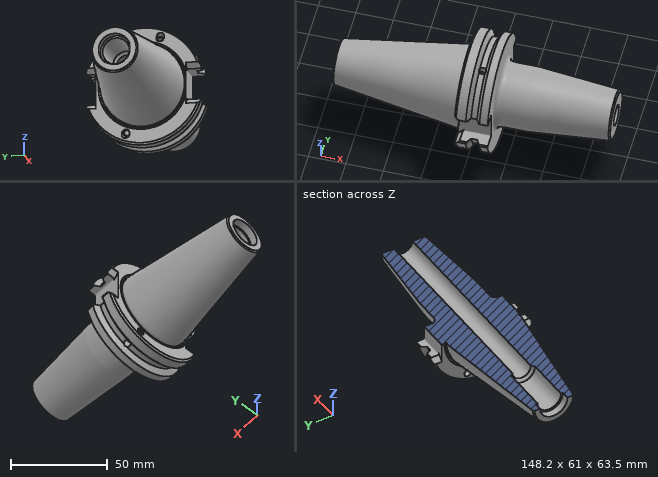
import math

import cadquery as cq


gauge_radius = 44.45 / 2
taper_length = 68.25
taper_slope = 7 / 48
rear_radius = gauge_radius - taper_length * taper_slope
rear_chamfer = 0.7

flange_radius = 63.5 / 2
flange_rear = 1.25
flange_front = 19.05
flange_fillet = 1.0
groove_radius = 56.4 / 2
groove_centre = 11.1
groove_floor_width = 3.2
groove_half_angle = 30.0

undercut_start = 0.7
undercut_floor = 1.8
undercut_neck_radius = gauge_radius - 0.35
undercut_floor_radius = 22.65
undercut_mouth_radius = 23.55

shaft_radius = 34.3 / 2
shaft_fillet = 3.2
shaft_end = 35.75
nose_x = 80.0
nose_radius = 27.0 / 2
nose_chamfer = 0.8

slot_width = 16.3
slot_floor_far = 25.0
slot_floor_near = 22.6
slot_floor_fillet = 0.5
slot_rim_chamfer = 0.65
slot_entry_chamfer = 2.8
cut_margin = 1.0

through_bore_radius = 11.0 / 2
counterbore_radius = 16.5 / 2
counterbore_depth = 4.5
middle_bore_radius = 14.2 / 2
middle_bore_depth = 30.0

coolant_angle = 19.8
coolant_face_distance = 27.1
coolant_tilt = 30.0
coolant_mouth_radius = 4.0 / 2
coolant_mouth_depth = 2.0
coolant_feed_radius = 3.0 / 2
coolant_feed_length = 14.0
plug_radius = 3.6 / 2
plug_depth = 10.0


def turned_body():
    """Taper shank, flange and shaft as one revolved outline."""
    groove_depth = flange_radius - groove_radius
    groove_flank = groove_depth * math.tan(math.radians(groove_half_angle))
    groove_rear = groove_centre - groove_floor_width / 2
    groove_front = groove_centre + groove_floor_width / 2
    arc_inset = 1 - math.sqrt(0.5)
    outline = (
        cq.Workplane("XY")
        .moveTo(-taper_length, 0)
        .lineTo(-taper_length, rear_radius - rear_chamfer)
        .lineTo(-taper_length + rear_chamfer, rear_radius + rear_chamfer * taper_slope)
        .lineTo(0, gauge_radius)
        .lineTo(undercut_start, gauge_radius)
        .lineTo(undercut_floor, undercut_neck_radius)
        .lineTo(undercut_floor, undercut_floor_radius)
        .lineTo(flange_rear, undercut_mouth_radius)
        .lineTo(flange_rear, flange_radius - flange_fillet)
        .threePointArc(
            (flange_rear + arc_inset * flange_fillet, flange_radius - arc_inset * flange_fillet),
            (flange_rear + flange_fillet, flange_radius),
        )
        .lineTo(groove_rear - groove_flank, flange_radius)
        .lineTo(groove_rear, groove_radius)
        .lineTo(groove_front, groove_radius)
        .lineTo(groove_front + groove_flank, flange_radius)
        .lineTo(flange_front, flange_radius)
        .lineTo(flange_front, shaft_radius + shaft_fillet)
        .threePointArc(
            (flange_front + arc_inset * shaft_fillet, shaft_radius + arc_inset * shaft_fillet),
            (flange_front + shaft_fillet, shaft_radius),
        )
        .lineTo(shaft_end, shaft_radius)
        .lineTo(nose_x, nose_radius)
        .lineTo(nose_x, 0)
        .close()
    )
    body = outline.revolve(360, (0, 0, 0), (1, 0, 0))
    return body.faces(">X").edges().chamfer(nose_chamfer)


def drive_slot(side, floor):
    """Cutter for the drive slot on the +Y (side = 1) or -Y (side = -1) rim."""
    half = slot_width / 2
    outer_y = flange_radius + cut_margin
    radial_depth = outer_y - floor
    middle = side * (floor + radial_depth / 2)
    floor_edges = "|X and <Y" if side > 0 else "|X and >Y"
    channel = (
        cq.Workplane("YZ")
        .center(middle, 0)
        .rect(radial_depth, slot_width)
        .extrude(flange_front)
        .edges(floor_edges)
        .fillet(slot_floor_fillet)
    )
    rim_half = half + slot_rim_chamfer
    rim_y = math.sqrt(flange_radius**2 - rim_half**2)
    wall_y = rim_y - slot_rim_chamfer
    outer_half = half + outer_y - wall_y
    rim_flare = (
        cq.Workplane("YZ")
        .moveTo(side * wall_y, -half)
        .lineTo(side * outer_y, -outer_half)
        .lineTo(side * outer_y, outer_half)
        .lineTo(side * wall_y, half)
        .close()
        .extrude(flange_front)
    )
    entry_half = half + slot_entry_chamfer
    inner_half = half - slot_floor_fillet
    entry_end = flange_rear + entry_half - inner_half
    entry_flare = (
        cq.Workplane("XZ", origin=(0, side * floor, 0))
        .moveTo(0, -entry_half)
        .lineTo(flange_rear, -entry_half)
        .lineTo(entry_end, -inner_half)
        .lineTo(entry_end, inner_half)
        .lineTo(flange_rear, entry_half)
        .lineTo(0, entry_half)
        .close()
        .extrude(-side * radial_depth)
    )
    return channel.union(rim_flare).union(entry_flare)


def axial_bore():
    """Cutter for the through bore, the rear counterbore and the middle bore with its 45 degree end."""
    rear = -taper_length
    cone_start = rear + middle_bore_depth
    cone_end = cone_start + middle_bore_radius - through_bore_radius
    return (
        cq.Workplane("XY")
        .moveTo(rear, 0)
        .lineTo(rear, counterbore_radius)
        .lineTo(rear + counterbore_depth, counterbore_radius)
        .lineTo(rear + counterbore_depth, middle_bore_radius)
        .lineTo(cone_start, middle_bore_radius)
        .lineTo(cone_end, through_bore_radius)
        .lineTo(nose_x, through_bore_radius)
        .lineTo(nose_x, 0)
        .close()
        .revolve(360, (0, 0, 0), (1, 0, 0))
    )


def drill(start, direction, radius, length):
    """Cylindrical cutter running from start along direction."""
    return cq.Workplane(cq.Solid.makeCylinder(radius, length, cq.Vector(*start), cq.Vector(*direction)))


def coolant_hole():
    """Cutter for the upper coolant hole: a stepped, inward-tilted feed and a radial plug hole in the groove."""
    tilt = math.radians(coolant_tilt)
    inward = (math.cos(tilt), 0, -math.sin(tilt))
    lead = 2 * coolant_mouth_radius
    start = (flange_rear - lead * inward[0], 0, coolant_face_distance - lead * inward[2])
    mouth = drill(start, inward, coolant_mouth_radius, lead + coolant_mouth_depth)
    feed = drill(start, inward, coolant_feed_radius, lead + coolant_feed_length)
    plug = drill((groove_centre, 0, flange_radius), (0, 0, -1), plug_radius, plug_depth)
    return mouth.union(feed).union(plug).rotate((0, 0, 0), (1, 0, 0), coolant_angle)


result = turned_body()
result = result.cut(drive_slot(1, slot_floor_far))
result = result.cut(drive_slot(-1, slot_floor_near))
result = result.cut(axial_bore())
upper_hole = coolant_hole()
for turn in (0, 180):
    result = result.cut(upper_hole.rotate((0, 0, 0), (1, 0, 0), turn))